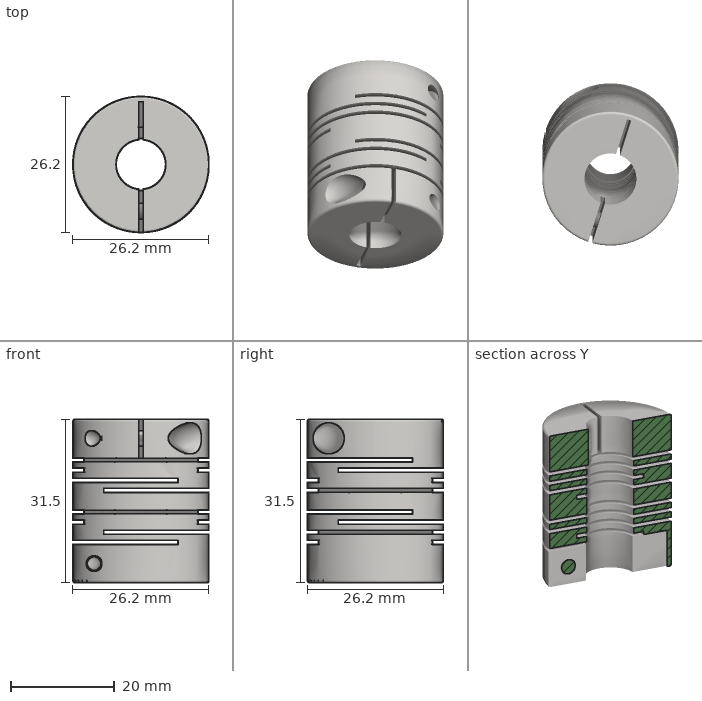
import cadquery as cq


outer_diameter = 26.2
length = 31.5
rim_fillet = 0.5
hub_length = 7.5
top_bore_diameter = 9.5
lower_bore_diameter = 10.0

outer_radius = outer_diameter / 2
top_hub_base = length - hub_length

slot_width = 0.75
slot_pitch = 1.95
web_offset = 7.13
group_directions = (
    ("-Y", "+Y", "-X", "+X"),
    ("-Y", "+Y", "+X", "-X"),
)
group_pitch = 10.0
group_tops = (top_hub_base, top_hub_base - group_pitch)

slit_width = 0.85
slit_reach = 12.1

screw_offset = 9.0
screw_height = 3.7
screw_diameter = 3.0
screw_tip_chamfer = 0.2
screw_tip_reach = 7.75
head_pocket_diameter = 6.0
head_pocket_floor = 4.5

direction_angles = {"+X": 0, "+Y": 90, "-X": 180, "-Y": 270}


def make_body():
    """Round body with filleted end rims and a stepped through bore."""
    body = cq.Workplane("XY").circle(outer_radius).extrude(length)
    body = body.edges("%CIRCLE").fillet(rim_fillet)
    lower_bore = cq.Workplane("XY").circle(lower_bore_diameter / 2).extrude(top_hub_base)
    top_bore = cq.Workplane("XY").circle(top_bore_diameter / 2).extrude(length)
    return body.cut(lower_bore).cut(top_bore)


def make_slot(direction, top):
    """Cutter for one flexure slot that opens toward the given direction."""
    cutter_length = web_offset + outer_radius
    cutter_center = (outer_radius - web_offset) / 2
    cutter = (
        cq.Workplane("XY", origin=(cutter_center, 0, top - slot_width))
        .rect(cutter_length, outer_diameter)
        .extrude(slot_width)
    )
    return cutter.rotate((0, 0, 0), (0, 0, 1), direction_angles[direction])


def cylinder_along_x(diameter, x_start, x_end):
    """Cylinder on the screw axis of the top hub, which runs along X."""
    return (
        cq.Workplane("YZ", origin=(x_start, -screw_offset, length - screw_height))
        .circle(diameter / 2)
        .extrude(x_end - x_start)
    )


def make_clamp_cutter():
    """Slit, screw hole and head pocket of the top hub."""
    slit_length = slit_reach + outer_radius
    slit_center = (slit_reach - outer_radius) / 2
    slit = (
        cq.Workplane("XY", origin=(0, slit_center, top_hub_base))
        .rect(slit_width, slit_length)
        .extrude(hub_length)
    )
    screw_hole = cylinder_along_x(screw_diameter, -outer_radius, head_pocket_floor)
    head_pocket = cylinder_along_x(head_pocket_diameter, head_pocket_floor, outer_radius)
    return slit.union(screw_hole).union(head_pocket)


def make_screw():
    """Screw shank of the top hub, with a chamfered tip inside its hole."""
    shank = cylinder_along_x(screw_diameter, -screw_tip_reach, head_pocket_floor)
    return shank.faces("<X").chamfer(screw_tip_chamfer)


def to_bottom_hub(shape):
    """Map a top hub shape onto the bottom hub: turn it over, with X and Y exchanged."""
    return shape.rotate((0, 0, length / 2), (1, 1, length / 2), 180)


result = make_body()

for group_top, directions in zip(group_tops, group_directions):
    for index, direction in enumerate(directions):
        result = result.cut(make_slot(direction, group_top - index * slot_pitch))

clamp_cutter = make_clamp_cutter()
screw = make_screw()
result = result.cut(clamp_cutter).cut(to_bottom_hub(clamp_cutter))
result = result.union(screw).union(to_bottom_hub(screw))